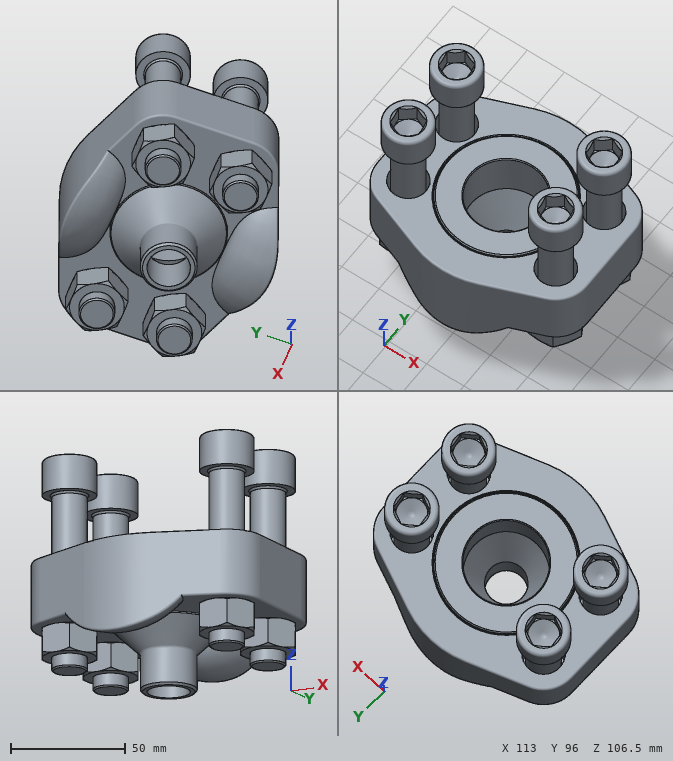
import cadquery as cq
import math

TINY = 0.01

FLANGE_LENGTH = 113.0
PLATE_THICKNESS = 30.0
LOBE_OUTLINE_RADIUS = 48.0
LOBE_DROP = 13.0
LOBE_HALF_CHORD = 30.7
EDGE_FILLET = 1.0
COLLAR_SEAT_DIAMETER = 64.25
COLLAR_SEAT_CHAMFER = 0.4
FLANGE_BORE = 51.55
LOBE_START = FLANGE_BORE / 2
SCREW_HOLE_DIAMETER = 19.0
SCREW_SPACING_X = 79.4
SCREW_SPACING_Y = 36.5

COLLAR_DIAMETER = 63.5
COLLAR_RISE = 0.5
COLLAR_DEPTH = 14.0
COLLAR_CHAMFER = 0.6
BODY_DIAMETER = 50.6
BODY_END_DEPTH = 30.5
PIPE_DIAMETER = 25.0
PIPE_START_DEPTH = 42.4
PIPE_END_DEPTH = 59.5
PIPE_CHAMFER = 1.0
ADAPTER_BORE = 38.0
BORE_DEPTH = 22.7
BORE_CHAMFER = 0.5
PIPE_BORE = 19.0
PIPE_ROOT_FILLET = 1.0
BORE_TAPER_ANGLE = 27.0

SHANK_DIAMETER = 15.68
SHANK_END_DIAMETER = 14.34
SHANK_LENGTH = 80.0
NECK_DIAMETER = 17.0
NECK_LENGTH = 1.0
HEAD_DIAMETER = 24.0
HEAD_HEIGHT = 16.0
HEAD_FILLET = 1.6
HEAD_TOP = 47.0
SOCKET_WIDTH = 14.0
SOCKET_DEPTH = 9.0
SOCKET_RIM_DIAMETER = 16.2
SOCKET_TURN = 38.0
DRILL_POINT_ANGLE = 118.0
NUT_WIDTH = 24.0
NUT_HEIGHT = 13.0
NUT_FACE_DIAMETER = 24.0
NUT_CHAMFER_ANGLE = 30.0

SCREW_CENTERS = [
    (side_x * SCREW_SPACING_X / 2, side_y * SCREW_SPACING_Y / 2)
    for side_x in (-1, 1)
    for side_y in (-1, 1)
]


def hexagon_diameter(width_across_flats):
    return width_across_flats / math.cos(math.pi / 6)


def cylinder(diameter, bottom, top):
    return cq.Workplane("XY", origin=(0, 0, bottom)).circle(diameter / 2).extrude(top - bottom)


def revolved(profile):
    """Turns a closed list of (radius, Z) points around the Z axis."""
    return cq.Workplane("XZ").polyline(profile).close().revolve(360, (0, 0), (0, 1))


def flange_outline():
    """Big arcs at the Y ends, corner arcs around the screws and straight tangents between them."""
    corner_x = SCREW_SPACING_X / 2
    corner_y = SCREW_SPACING_Y / 2
    corner_radius = FLANGE_LENGTH / 2 - corner_x
    reach = math.hypot(corner_x, corner_y)
    normal = math.atan2(corner_y, corner_x) + math.acos((LOBE_OUTLINE_RADIUS - corner_radius) / reach)

    def lobe_point(angle):
        return (LOBE_OUTLINE_RADIUS * math.cos(angle), LOBE_OUTLINE_RADIUS * math.sin(angle))

    def corner_point(angle):
        return (corner_x + corner_radius * math.cos(angle), corner_y + corner_radius * math.sin(angle))

    def mirrored(point, sign_x, sign_y):
        return (sign_x * point[0], sign_y * point[1])

    tangent = lobe_point(normal)
    corner_end = corner_point(normal)
    corner_middle = corner_point(normal / 2)
    corner_start = corner_point(0)
    return (
        cq.Workplane("XY")
        .moveTo(*corner_start)
        .threePointArc(corner_middle, corner_end)
        .lineTo(*tangent)
        .threePointArc((0, LOBE_OUTLINE_RADIUS), mirrored(tangent, -1, 1))
        .lineTo(*mirrored(corner_end, -1, 1))
        .threePointArc(mirrored(corner_middle, -1, 1), mirrored(corner_start, -1, 1))
        .lineTo(*mirrored(corner_start, -1, -1))
        .threePointArc(mirrored(corner_middle, -1, -1), mirrored(corner_end, -1, -1))
        .lineTo(*mirrored(tangent, -1, -1))
        .threePointArc((0, -LOBE_OUTLINE_RADIUS), mirrored(tangent, 1, -1))
        .lineTo(*mirrored(corner_end, 1, -1))
        .threePointArc(mirrored(corner_middle, 1, -1), mirrored(corner_start, 1, -1))
        .close()
    )


def make_lobe_barrel():
    """Round body lying along Y that swells from the plate underside to full depth at the +Y end."""
    end_radius = (LOBE_HALF_CHORD**2 + LOBE_DROP**2) / (2 * LOBE_DROP)
    start_radius = end_radius - LOBE_DROP
    axis_z = start_radius - PLATE_THICKNESS
    return (
        cq.Workplane("XY", origin=(0, 0, axis_z))
        .moveTo(0, LOBE_START)
        .lineTo(start_radius, LOBE_START)
        .ellipseArc(LOBE_DROP, LOBE_OUTLINE_RADIUS - LOBE_START, 270, 360, startAtCurrent=True)
        .lineTo(0, LOBE_OUTLINE_RADIUS)
        .close()
        .revolve(360, (0, 0), (0, 1))
    )


def underside_rim():
    """Selects the outer edges below the plate, without the lines where the lobes leave it."""
    reach = FLANGE_LENGTH
    all_underside = cq.selectors.BoxSelector(
        (-reach, -reach, -reach),
        (reach, reach, -PLATE_THICKNESS + TINY),
    )
    lobe_starts = cq.selectors.BoxSelector(
        (-TINY, -LOBE_OUTLINE_RADIUS, -PLATE_THICKNESS - TINY),
        (TINY, LOBE_OUTLINE_RADIUS, -PLATE_THICKNESS + TINY),
    )
    return all_underside - lobe_starts


def make_collar_seat():
    """Counterbore for the adapter collar, with a chamfered mouth."""
    seat = COLLAR_SEAT_DIAMETER / 2
    return revolved([
        (0, 0),
        (seat + COLLAR_SEAT_CHAMFER, 0),
        (seat, -COLLAR_SEAT_CHAMFER),
        (seat, -COLLAR_DEPTH),
        (0, -COLLAR_DEPTH),
    ])


def make_flange():
    lowest = PLATE_THICKNESS + LOBE_DROP
    plate = flange_outline().extrude(-PLATE_THICKNESS)
    lobe = flange_outline().extrude(-2 * lowest).intersect(make_lobe_barrel())
    flange = plate.union(lobe).union(lobe.mirror("XZ"))
    flange = flange.faces(">Z").edges().fillet(EDGE_FILLET)
    flange = flange.edges(underside_rim()).fillet(EDGE_FILLET)
    flange = flange.cut(cylinder(FLANGE_BORE, -lowest, 0))
    flange = flange.cut(make_collar_seat())
    for x, y in SCREW_CENTERS:
        hole = cylinder(SCREW_HOLE_DIAMETER, -lowest, 0).translate((x, y, 0))
        flange = flange.cut(hole)
    return flange


def make_adapter():
    body = BODY_DIAMETER / 2
    pipe = PIPE_DIAMETER / 2
    collar = COLLAR_DIAMETER / 2
    bore = ADAPTER_BORE / 2
    pipe_bore = PIPE_BORE / 2
    inner_taper = (bore - pipe_bore) / math.tan(math.radians(BORE_TAPER_ANGLE))
    sleeve = revolved([
        (bore + BORE_CHAMFER, COLLAR_RISE),
        (collar - COLLAR_CHAMFER, COLLAR_RISE),
        (collar, COLLAR_RISE - COLLAR_CHAMFER),
        (collar, -COLLAR_DEPTH),
        (body, -COLLAR_DEPTH),
        (body, -BODY_END_DEPTH),
        (pipe, -PIPE_START_DEPTH),
        (pipe, -PIPE_END_DEPTH + PIPE_CHAMFER),
        (pipe - PIPE_CHAMFER, -PIPE_END_DEPTH),
        (pipe_bore, -PIPE_END_DEPTH),
        (pipe_bore, -BORE_DEPTH - inner_taper),
        (bore, -BORE_DEPTH),
        (bore, COLLAR_RISE - BORE_CHAMFER),
    ])
    pipe_root = cq.selectors.BoxSelector(
        (-TINY, -TINY, -PIPE_START_DEPTH - TINY),
        (TINY, TINY, -PIPE_START_DEPTH + TINY),
    )
    return sleeve.edges(pipe_root).fillet(PIPE_ROOT_FILLET)


def make_screw(x, y):
    shank = SHANK_DIAMETER / 2
    shank_end = SHANK_END_DIAMETER / 2
    head_bottom = HEAD_TOP - HEAD_HEIGHT
    end = head_bottom - SHANK_LENGTH
    head = cylinder(HEAD_DIAMETER, head_bottom, HEAD_TOP).faces(">Z").edges().fillet(HEAD_FILLET)
    stem = revolved([
        (0, head_bottom),
        (NECK_DIAMETER / 2, head_bottom),
        (shank, head_bottom - NECK_LENGTH),
        (shank, end + (shank - shank_end)),
        (shank_end, end),
        (0, end),
    ])
    socket = (
        cq.Workplane("XY", origin=(0, 0, HEAD_TOP))
        .transformed(rotate=(0, 0, SOCKET_TURN))
        .polygon(6, hexagon_diameter(SOCKET_WIDTH))
        .extrude(-SOCKET_DEPTH)
    )
    rim = SOCKET_RIM_DIAMETER / 2
    rim_countersink = revolved([(0, HEAD_TOP), (rim, HEAD_TOP), (0, HEAD_TOP - rim)])
    drill = SOCKET_WIDTH / 2
    drill_tip = drill / math.tan(math.radians(DRILL_POINT_ANGLE / 2))
    socket_floor = HEAD_TOP - SOCKET_DEPTH
    drill_point = revolved([(0, socket_floor), (drill, socket_floor), (0, socket_floor - drill_tip)])
    screw = head.union(stem).cut(socket).cut(rim_countersink).cut(drill_point)
    return screw.translate((x, y, 0))


def make_nut(x, y):
    bottom = -PLATE_THICKNESS - NUT_HEIGHT
    face = NUT_FACE_DIAMETER / 2
    corner = hexagon_diameter(NUT_WIDTH) / 2
    bevel = (corner - face) * math.tan(math.radians(NUT_CHAMFER_ANGLE))
    prism = (
        cq.Workplane("XY", origin=(0, 0, bottom))
        .polygon(6, hexagon_diameter(NUT_WIDTH))
        .extrude(NUT_HEIGHT)
    )
    turned = revolved([
        (0, bottom),
        (face, bottom),
        (corner, bottom + bevel),
        (corner, -PLATE_THICKNESS - bevel),
        (face, -PLATE_THICKNESS),
        (0, -PLATE_THICKNESS),
    ])
    nut = prism.intersect(turned).cut(cylinder(SHANK_DIAMETER, bottom, -PLATE_THICKNESS))
    return nut.translate((x, y, 0))


flange = make_flange()
adapter = make_adapter()
screws = [make_screw(x, y) for x, y in SCREW_CENTERS]
nuts = [make_nut(x, y) for x, y in SCREW_CENTERS]

result = cq.Compound.makeCompound(
    [flange.val(), adapter.val()]
    + [screw.val() for screw in screws]
    + [nut.val() for nut in nuts]
)